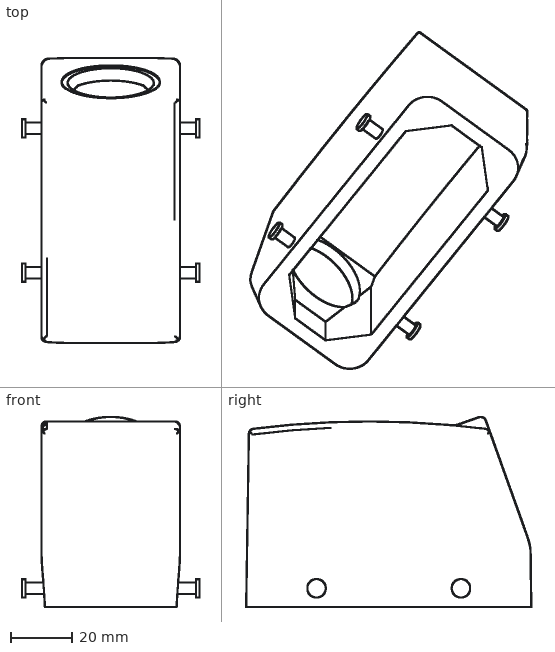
import cadquery as cq
import math

base_end_y = 46.65
base_half_width = 21.55
band_half_width = 21.9
bulge_half_width = 22.6
side_half_width = 22.7
back_draft = 0.9
skirt_end_y = 46.4
bend_rise = 0.2

band_z = 6.7
bulge_z = 14.9
bend_start_z = 18.7
bend_end_z = 23.3
crown_z = 60.7
blank_z = 65.3

rim_corner = 7.7
band_corner = 5.5
bulge_corner = 3.1
bend_corner = 2.4
wall_corner = 2.0
roof_corner = 0.9

lean = 19.7
lean_start_y = 45.25
crown_y = -6.5
roof_radius = 298.6
roof_fillet = 1.9
roof_edge_z = 56.0

hood_radius = 22.8
hood_length = 14.9
hood_bottom_z = 53.2
hood_blend = 1.9

entry_z = 41.3
entry_diameter = 28.2
recess_diameter = 32.1
recess_depth = 0.4

wall = 4.7
corner_cut = 48.2

pin_y = 23.6
pin_z = 6.2
pin_diameter = 3.8
pin_tip_x = 29.0
head_diameter = 6.1
head_thickness = 1.2

lean_angle = math.radians(lean)
lean_slope = math.tan(lean_angle)
back_slope = math.tan(math.radians(back_draft))


def lean_y(z):
    """Y of the leaning +Y face at height z."""
    return lean_start_y - (z - bend_end_z) * lean_slope


def back_y(z):
    """Y of the -Y end wall at height z."""
    return -base_end_y + z * back_slope


def skirt_y(z):
    """Y of the +Y wall at height z, below the bend."""
    return base_end_y - (base_end_y - skirt_end_y) * z / bend_start_z


entry_plane = cq.Plane(
    origin=(0, lean_y(entry_z), entry_z),
    xDir=(1, 0, 0),
    normal=(0, math.cos(lean_angle), math.sin(lean_angle)),
)


def ring(z, half_width, front_y, corner):
    """Rounded rectangle of the outer wall at height z."""
    length = front_y - back_y(z)
    middle = (front_y + back_y(z)) / 2
    sketch = cq.Sketch().rect(2 * half_width, length).vertices().fillet(corner)
    return sketch.moved(cq.Location(cq.Vector(0, middle, z)))


def loft(rings, ruled=False):
    return cq.Workplane("XY").placeSketch(*rings).loft(ruled=ruled)


def arched_prism(outline, half_width, arch_radius):
    """Side outline (y, z) extruded across X and topped by the roof arch or one parallel to it."""
    side = cq.Workplane("YZ", origin=(-half_width, 0, 0))
    arch = side.center(crown_y, crown_z - roof_radius).circle(arch_radius).extrude(2 * half_width)
    return side.polyline(outline).close().extrude(2 * half_width).intersect(arch)


def make_hood():
    """Upper part of a round boss that is flush with the leaning face."""
    boss = cq.Workplane(entry_plane).circle(hood_radius).extrude(-hood_length)
    lower_part = cq.Workplane("XY").rect(4 * hood_radius, 4 * base_end_y).extrude(hood_bottom_z)
    return boss.cut(lower_part)


def make_roof_block():
    """Upper body with the hood and rounded roof edges, its upright corners still sharp."""
    outline = [
        (back_y(bend_end_z), bend_end_z),
        (back_y(blank_z), blank_z),
        (lean_y(blank_z), blank_z),
        (lean_start_y, bend_end_z),
    ]
    block = arched_prism(outline, side_half_width, roof_radius).union(make_hood())
    block = block.edges("%BSPLINE").fillet(hood_blend)
    around_roof = cq.selectors.BoxSelector(
        (-2 * side_half_width, -base_end_y, roof_edge_z),
        (2 * side_half_width, base_end_y, blank_z),
    )
    return block.faces("%PLANE").edges(around_roof).fillet(roof_fillet)


def make_body():
    rim = ring(0, base_half_width, base_end_y, rim_corner)
    band = ring(band_z, band_half_width, skirt_y(band_z), band_corner)
    bulge = ring(bulge_z, bulge_half_width, skirt_y(bulge_z), bulge_corner)
    bend_start = ring(bend_start_z, side_half_width, skirt_end_y, bend_corner)
    bend_middle = ring(
        (bend_start_z + bend_end_z) / 2,
        side_half_width,
        (skirt_end_y + lean_start_y) / 2 + bend_rise,
        (bend_corner + wall_corner) / 2,
    )
    bend_end = ring(bend_end_z, side_half_width, lean_start_y, wall_corner)
    top = ring(blank_z, side_half_width, lean_y(blank_z), roof_corner)

    foot = loft([rim, band], ruled=True)
    skirt = loft([band, bulge, bend_start, bend_middle, bend_end])
    upper = loft([bend_end, top], ruled=True).intersect(make_roof_block())
    return foot.union(skirt).union(upper)


def make_cavity():
    """Inside space, open at the rim, with bevelled upright corners."""
    back = -base_end_y + wall
    front = base_end_y - wall
    lean_offset = wall / math.cos(lean_angle)
    inner_bend_z = bend_end_z + (lean_start_y - lean_offset - front) / lean_slope
    outline = [
        (back, 0),
        (back, blank_z),
        (lean_y(blank_z) - lean_offset, blank_z),
        (front, inner_bend_z),
        (front, 0),
    ]
    space = arched_prism(outline, base_half_width - wall, roof_radius - wall)
    diamond = [(corner_cut, 0), (0, corner_cut), (-corner_cut, 0), (0, -corner_cut)]
    return space.intersect(cq.Workplane("XY").polyline(diamond).close().extrude(blank_z))


def make_entry():
    """Cable hole with a shallow recess around its mouth."""
    recess = cq.Workplane(entry_plane).circle(recess_diameter / 2).extrude(-recess_depth)
    hole = cq.Workplane(entry_plane).circle(entry_diameter / 2).extrude(-2 * wall)
    return recess.union(hole)


def make_pin(side, y):
    """Headed locking pin at y, rooted in the +X (side = 1) or -X (side = -1) wall."""
    root_x = base_half_width - wall / 2
    root_plane = cq.Plane(origin=(side * root_x, y, pin_z), normal=(side, 0, 0))
    tip_plane = cq.Plane(origin=(side * pin_tip_x, y, pin_z), normal=(side, 0, 0))
    shank = cq.Workplane(root_plane).circle(pin_diameter / 2).extrude(pin_tip_x - root_x)
    head = cq.Workplane(tip_plane).circle(head_diameter / 2).extrude(-head_thickness)
    return shank.union(head)


result = make_body().cut(make_cavity()).cut(make_entry())
for pin_side in (-1, 1):
    for y in (-pin_y, pin_y):
        result = result.union(make_pin(pin_side, y))